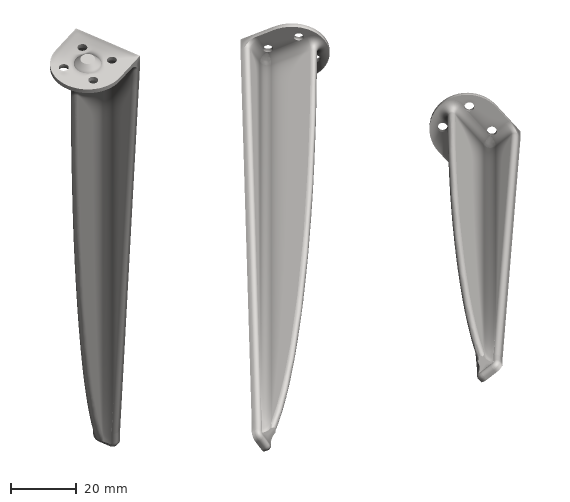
import cadquery as cq
import math

plate_width = 23.0
plate_radius = plate_width / 2
plate_thickness = 1.5
plate_fillet_radius = 2.8
back_y = plate_radius

boss_height = 2.0
boss_base_diameter = 8.5
boss_tip_diameter = 4.5
hole_diameter = 3.0
hole_circle_diameter = 15.0
hole_count = 4
first_hole_angle = 45.0
hole_depth = 8.0

leg_length = 165.0
collar_length = 0.1
taper_top_z = -(plate_thickness + plate_fillet_radius + collar_length)

flange_thickness = 2.6
flange_tip_width = 8.7
flange_tip_straight = 6.5
flange_tip_corner = 2.4
flange_edge_radius = 1.4
flange_front_y = back_y - flange_thickness

web_thickness = 2.6
web_depth = 20.0
web_nose_radius = 1.25
web_curve_length = 162.6
web_bevel_depth = 5.8
root_radius = 2.5
web_front_y = back_y - web_depth

margin = 0.1


def make_plate_outline():
    """D-shaped outline of the mounting plate."""
    return (
        cq.Workplane("XY")
        .moveTo(-plate_radius, back_y)
        .lineTo(-plate_radius, 0)
        .threePointArc((0, -plate_radius), (plate_radius, 0))
        .lineTo(plate_radius, back_y)
        .close()
    )


def make_flange():
    """Back flange narrowing towards the tip, with rounded corners and front edges."""
    half_tip = flange_tip_width / 2
    tip_straight_z = flange_tip_straight - leg_length
    outline = [
        (-plate_radius, 0),
        (-plate_radius, taper_top_z),
        (-half_tip, tip_straight_z),
        (-half_tip, -leg_length),
        (half_tip, -leg_length),
        (half_tip, tip_straight_z),
        (plate_radius, taper_top_z),
        (plate_radius, 0),
    ]
    flange = (
        cq.Workplane("XZ", origin=(0, back_y, 0))
        .polyline(outline)
        .close()
        .extrude(flange_thickness)
    )
    tip_corners = cq.selectors.BoxSelector(
        (-plate_radius, flange_front_y - margin, -leg_length - margin),
        (plate_radius, back_y + margin, -leg_length + margin),
    )
    flange = flange.edges("|Y").edges(tip_corners).fillet(flange_tip_corner)
    return flange.faces("<Y").edges("not >Z").fillet(flange_edge_radius)


def make_web_side_profile():
    """Side shape of the web: elliptical front edge ending in a short 45 degree bevel."""
    end_angle = math.acos(web_bevel_depth / web_depth)
    bevel_top_z = taper_top_z - web_curve_length * math.sin(end_angle)
    bevel_end_z = bevel_top_z - (web_bevel_depth - flange_thickness)
    root_y = back_y - flange_thickness / 2
    half_width = root_radius + web_thickness / 2 + margin
    return (
        cq.Workplane("YZ", origin=(-half_width, 0, 0))
        .moveTo(root_y, 0)
        .lineTo(web_front_y, 0)
        .lineTo(web_front_y, taper_top_z)
        .ellipseArc(web_depth, web_curve_length, 180, 180 + math.degrees(end_angle), sense=1)
        .lineTo(flange_front_y, bevel_end_z)
        .lineTo(root_y, bevel_end_z)
        .close()
        .extrude(2 * half_width)
    )


def make_web():
    """Web with a rounded nose following its front edge."""
    slab = cq.Workplane("XY").rect(web_thickness, 2 * web_depth).extrude(-leg_length)
    web = make_web_side_profile().intersect(slab)
    nose_edges = cq.selectors.BoxSelector(
        (-web_thickness, web_front_y - margin, -leg_length),
        (web_thickness, back_y - web_bevel_depth, -margin),
    )
    return web.edges("not |X").edges(nose_edges).edges("not |Y").fillet(web_nose_radius)


def make_web_root(flange):
    """Concave blends between the web sides and the flat front of the flange."""
    inner_x = web_thickness / 2
    outer_x = inner_x + root_radius
    root_top_y = flange_front_y - root_radius
    mid_x = outer_x - root_radius * math.cos(math.pi / 4)
    mid_y = root_top_y + root_radius * math.sin(math.pi / 4)
    blend = (
        cq.Workplane("XY")
        .moveTo(-outer_x, flange_front_y)
        .threePointArc((-mid_x, mid_y), (-inner_x, root_top_y))
        .lineTo(inner_x, root_top_y)
        .threePointArc((mid_x, mid_y), (outer_x, flange_front_y))
        .close()
        .extrude(-leg_length)
    )
    flat_front = flange.faces("<Y").wires().toPending().extrude(root_radius)
    return blend.intersect(make_web_side_profile()).intersect(flat_front)


def make_leg():
    """Flange and web joined by their root blends."""
    flange = make_flange()
    return flange.union(make_web()).union(make_web_root(flange))


def join_leg_to_plate(leg):
    """Fillet the leg into an oversized plate, then trim everything to the D outline."""
    blank_width = plate_width + 4 * plate_fillet_radius
    blank_length = back_y + blank_width / 2
    blank = (
        cq.Workplane("XY")
        .center(0, back_y - blank_length / 2)
        .rect(blank_width, blank_length)
        .extrude(-plate_thickness)
    )
    around_leg = cq.selectors.BoxSelector(
        (-plate_radius - margin, web_front_y - margin, -plate_thickness - margin),
        (plate_radius + margin, back_y - margin, -plate_thickness + margin),
    )
    body = leg.union(blank).edges(around_leg).fillet(plate_fillet_radius)
    return body.intersect(make_plate_outline().extrude(-leg_length))


def make_boss():
    """Conical locating boss on top of the plate."""
    return (
        cq.Workplane("XY")
        .circle(boss_base_diameter / 2)
        .workplane(offset=boss_height)
        .circle(boss_tip_diameter / 2)
        .loft()
    )


def make_holes():
    """Screw holes on a circle about the boss, between the axes."""
    return (
        cq.Workplane("XY")
        .polarArray(hole_circle_diameter / 2, first_hole_angle, 360, hole_count)
        .circle(hole_diameter / 2)
        .extrude(-hole_depth)
    )


result = join_leg_to_plate(make_leg()).union(make_boss()).cut(make_holes())